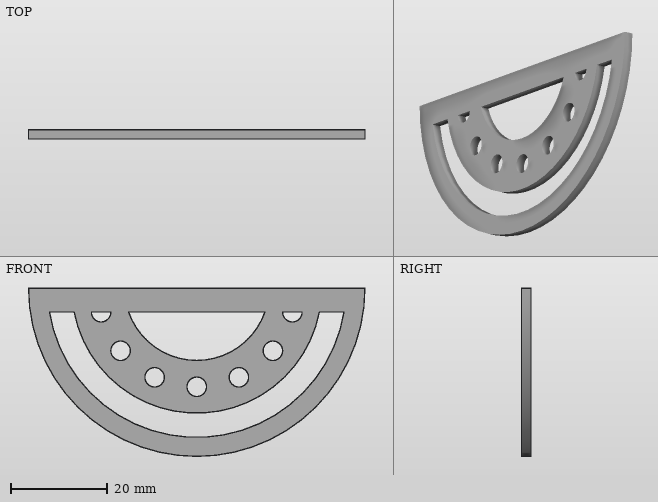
import cadquery as cq
import math

thickness = 2.0
outer_radius = 35.0
bar_height = 5.0
slot_outer_radius = 31.0
slot_inner_radius = 26.0
window_radius = 15.0
hole_diameter = 4.0
hole_circle_radius = 20.5
hole_count = 7

end_hole_angle = math.acos(bar_height / hole_circle_radius)
hole_pitch_angle = 2 * end_hole_angle / (hole_count - 1)


def lower_half_disc(radius):
    """Half disc below the X axis, centred in Y on the plate."""
    return (
        cq.Workplane("XZ")
        .moveTo(-radius, 0)
        .threePointArc((0, -radius), (radius, 0))
        .close()
        .extrude(thickness / 2, both=True)
    )


def hole_centers():
    """Hole positions spread evenly about the straight-down direction."""
    middle = (hole_count - 1) / 2
    centers = []
    for index in range(hole_count):
        angle = (index - middle) * hole_pitch_angle
        x = hole_circle_radius * math.sin(angle)
        z = -hole_circle_radius * math.cos(angle)
        centers.append((x, z))
    return centers


def holes():
    """Round through holes along the arch."""
    return (
        cq.Workplane("XZ")
        .pushPoints(hole_centers())
        .circle(hole_diameter / 2)
        .extrude(thickness / 2, both=True)
    )


def straight_bar():
    """Solid band along the straight edge; it fills the upper halves of the end holes."""
    return (
        cq.Workplane("XZ")
        .rect(2 * outer_radius, 2 * bar_height)
        .extrude(thickness / 2, both=True)
        .intersect(lower_half_disc(outer_radius))
    )


rim = lower_half_disc(outer_radius).cut(lower_half_disc(slot_outer_radius))
perforated_arch = lower_half_disc(slot_inner_radius).cut(lower_half_disc(window_radius)).cut(holes())
result = rim.union(perforated_arch).union(straight_bar())